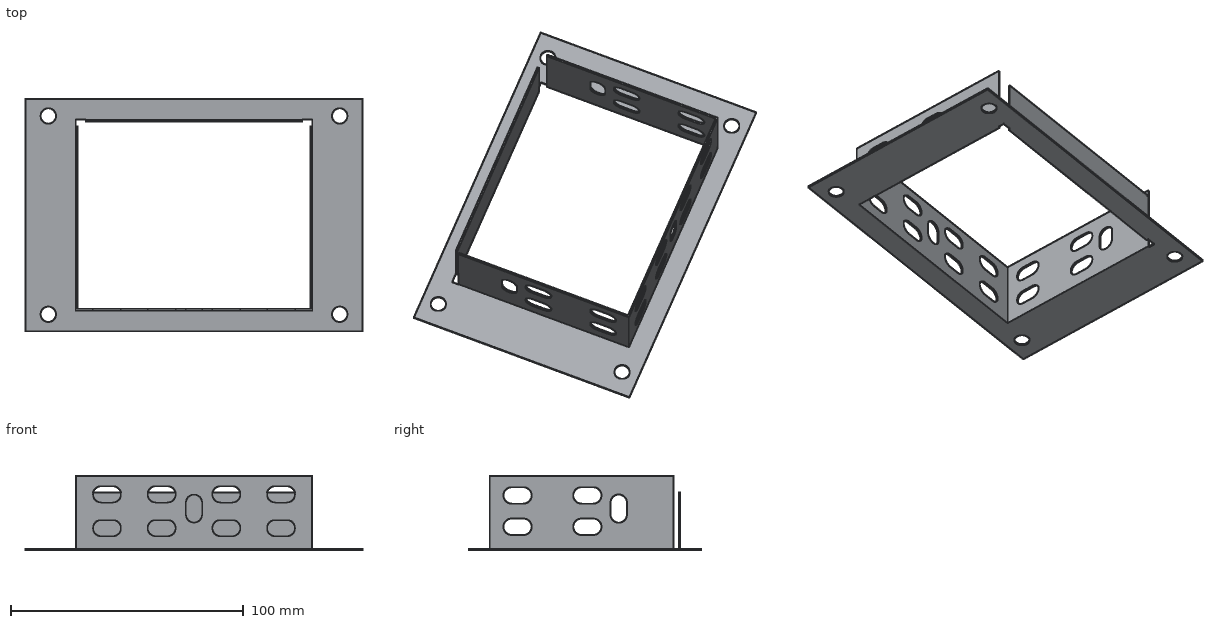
import cadquery as cq

sheet = 0.8
flange_length = 145.0
flange_width = 100.0
height = 32.0

opening_length = 101.6
opening_width = 82.0
opening_half_x = opening_length / 2
opening_half_y = opening_width / 2

mount_hole_diameter = 6.5
mount_spacing_x = 125.3
mount_spacing_y = 85.3

flap_length = 93.2
flap_height = 25.0
side_wall_back_gap = 2.9

slot_length = 12.0
slot_width = 7.0
upright_slot_z = 18.0

front_slot_offsets = (13.9, 37.4)
front_slot_zs = (9.5, 24.0)

side_slot_positions = (1.0, -29.0)
side_slot_zs = (10.2, 23.6)
side_upright_slot_y = 14.5


def block(length, width, block_height, x, y):
    """Block standing on Z = 0 and centred on (x, y)."""
    return cq.Workplane("XY").center(x, y).rect(length, width).extrude(block_height)


def slot_cutter(plane, points, depth, angle=0):
    """Obround prisms reaching the given depth to both sides of the plane."""
    return (
        cq.Workplane(plane)
        .pushPoints(points)
        .slot2D(slot_length, slot_width, angle)
        .extrude(depth, both=True)
    )


def make_flange():
    opening = block(opening_length, opening_width, sheet, 0, 0)
    return (
        block(flange_length, flange_width, sheet, 0, 0)
        .cut(opening)
        .faces(">Z")
        .workplane(origin=(0, 0, sheet))
        .rect(mount_spacing_x, mount_spacing_y, forConstruction=True)
        .vertices()
        .hole(mount_hole_diameter)
    )


def make_front_wall():
    wall = block(opening_length, sheet, height, 0, -opening_half_y + sheet / 2)
    flat_slots = [
        (side * offset, z)
        for side in (-1, 1)
        for offset in front_slot_offsets
        for z in front_slot_zs
    ]
    plane = cq.Plane.XZ(origin=(0, -opening_half_y, 0))
    wall = wall.cut(slot_cutter(plane, flat_slots, 2 * sheet))
    return wall.cut(slot_cutter(plane, [(0, upright_slot_z)], 2 * sheet, 90))


def make_side_walls():
    wall_length = opening_width - side_wall_back_gap
    wall_x = opening_half_x - sheet / 2
    wall_y = -side_wall_back_gap / 2
    walls = block(sheet, wall_length, height, -wall_x, wall_y)
    walls = walls.union(block(sheet, wall_length, height, wall_x, wall_y))
    flat_slots = [(y, z) for y in side_slot_positions for z in side_slot_zs]
    upright_slot = [(side_upright_slot_y, upright_slot_z)]
    walls = walls.cut(slot_cutter("YZ", flat_slots, opening_length))
    return walls.cut(slot_cutter("YZ", upright_slot, opening_length, 90))


def make_back_flap():
    return block(flap_length, sheet, flap_height, 0, opening_half_y - sheet / 2)


result = (
    make_flange()
    .union(make_front_wall())
    .union(make_side_walls())
    .union(make_back_flap())
)